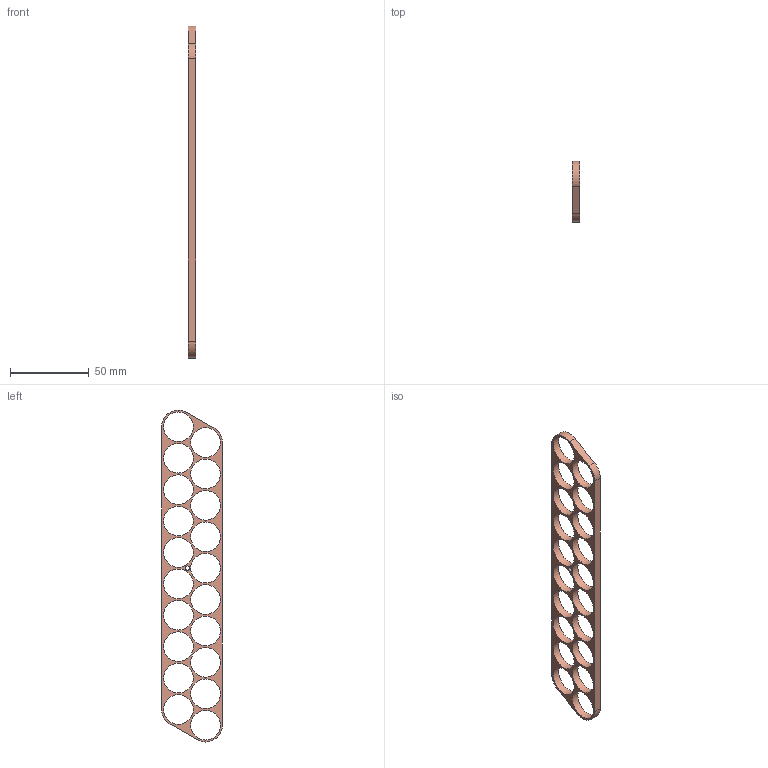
import cadquery as cq
import math

thickness = 5.0
cell_diameter = 18.9
cell_pitch = 20.0
cells_per_column = 10
rim_radius = 10.695
pin_hole_diameter = 2.8
pin_hole_row = 5

column_spacing = cell_pitch * math.sqrt(3) / 2
column_stagger = cell_pitch / 2
column_length = (cells_per_column - 1) * cell_pitch

column_y = column_spacing / 2
low_column_start = -(column_length + column_stagger) / 2
high_column_start = low_column_start + column_stagger


def column_centres(y, start_z):
    """Cell centres (Y, Z) of one column, from the bottom up."""
    return [(y, start_z + row * cell_pitch) for row in range(cells_per_column)]


low_column = column_centres(-column_y, low_column_start)
high_column = column_centres(column_y, high_column_start)


def rim_point(centre, angle_deg):
    """Point of the rounded outline around a corner cell, angle measured from +Y towards +Z."""
    angle = math.radians(angle_deg)
    return (
        centre[0] + rim_radius * math.cos(angle),
        centre[1] + rim_radius * math.sin(angle),
    )


def make_plate():
    """Parallelogram around the four corner cells, with tangent arcs at its corners."""
    corners = [
        (high_column[0], -60, 0),
        (high_column[-1], 0, 120),
        (low_column[-1], 120, 180),
        (low_column[0], 180, 300),
    ]
    first_centre, first_angle, _ = corners[0]
    outline = cq.Workplane("YZ").moveTo(*rim_point(first_centre, first_angle))
    for index, (centre, start_angle, end_angle) in enumerate(corners):
        if index > 0:
            outline = outline.lineTo(*rim_point(centre, start_angle))
        middle_angle = (start_angle + end_angle) / 2
        outline = outline.threePointArc(rim_point(centre, middle_angle), rim_point(centre, end_angle))
    return outline.close().extrude(thickness / 2, both=True)


def make_hole_cutters(centres, diameter):
    """Cylinders through the full thickness at the given (Y, Z) centres."""
    return cq.Workplane("YZ").pushPoints(centres).circle(diameter / 2).extrude(thickness / 2, both=True)


pin_hole_centre = (column_y - column_spacing / 3, low_column[pin_hole_row][1])

result = (
    make_plate()
    .cut(make_hole_cutters(low_column + high_column, cell_diameter))
    .cut(make_hole_cutters([pin_hole_centre], pin_hole_diameter))
)